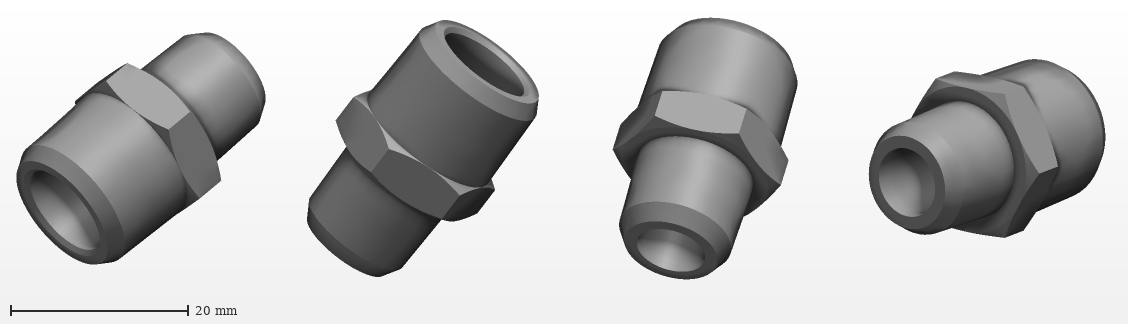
import cadquery as cq
import math

length = 27.5
large_end_length = 11.5
hex_width = 5.0
hex_across_flats = 17.0
hex_chamfer_angle = 30.0

large_root_dia = 16.88
large_tip_dia = 16.3
large_face_dia = 14.35
large_chamfer_length = 1.75
small_root_dia = 13.65
small_tip_dia = 13.1
small_face_dia = 10.85
small_chamfer_length = 1.95

bore_dia = 8.0
wide_bore_dia = 11.0
wide_bore_depth = 11.5
bore_mouth_dia = 12.0
mouth_chamfer_angle = 45.0
bore_step_angle = 30.0

front_y = -length / 2
back_y = length / 2
hex_front_y = front_y + large_end_length
hex_back_y = hex_front_y + hex_width


def revolve_about_y(profile):
    """Revolve (radius, y) points about the Y axis."""
    return cq.Workplane("XY").polyline(profile).close().revolve(360, (0, 0, 0), (0, 1, 0))


def make_tapered_ends():
    return revolve_about_y([
        (0, front_y),
        (large_face_dia / 2, front_y),
        (large_tip_dia / 2, front_y + large_chamfer_length),
        (large_root_dia / 2, hex_front_y),
        (large_root_dia / 2, hex_front_y + hex_width / 2),
        (small_root_dia / 2, hex_front_y + hex_width / 2),
        (small_root_dia / 2, hex_back_y),
        (small_tip_dia / 2, back_y - small_chamfer_length),
        (small_face_dia / 2, back_y),
        (0, back_y),
    ])


def make_hex():
    """Hexagon with corners on X, its corners chamfered at both faces."""
    across_corners = hex_across_flats / math.cos(math.radians(30))
    hexagon = (
        cq.Workplane("XZ", origin=(0, hex_back_y, 0))
        .polygon(6, across_corners)
        .extrude(hex_width)
    )
    face_radius = hex_across_flats / 2
    outer_radius = across_corners / 2
    chamfer_drop = (outer_radius - face_radius) * math.tan(math.radians(hex_chamfer_angle))
    chamfer_envelope = revolve_about_y([
        (0, hex_front_y),
        (face_radius, hex_front_y),
        (outer_radius, hex_front_y + chamfer_drop),
        (outer_radius, hex_back_y - chamfer_drop),
        (face_radius, hex_back_y),
        (0, hex_back_y),
    ])
    return hexagon.intersect(chamfer_envelope)


def make_bore():
    mouth_depth = (bore_mouth_dia - wide_bore_dia) / 2 / math.tan(math.radians(mouth_chamfer_angle))
    step_depth = (wide_bore_dia - bore_dia) / 2 * math.tan(math.radians(bore_step_angle))
    wide_bore_end_y = front_y + wide_bore_depth
    return revolve_about_y([
        (0, front_y),
        (bore_mouth_dia / 2, front_y),
        (wide_bore_dia / 2, front_y + mouth_depth),
        (wide_bore_dia / 2, wide_bore_end_y),
        (bore_dia / 2, wide_bore_end_y + step_depth),
        (bore_dia / 2, back_y),
        (0, back_y),
    ])


result = make_tapered_ends().union(make_hex()).cut(make_bore())